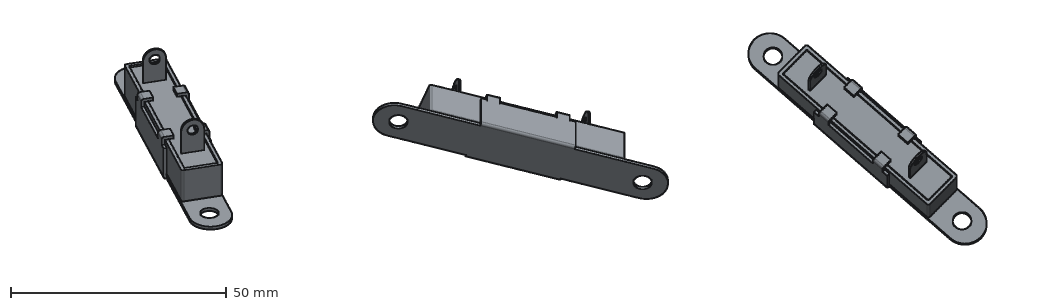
import cadquery as cq

plate_length = 72.0
plate_width = 10.1
plate_thickness = 0.9
mount_hole_diameter = 4.3
mount_hole_x = 30.0

case_length = 48.0
case_width = 10.0
case_top = 9.7
case_edge_radius = 0.5
rim_width = 0.9
recess_depth = 0.5

clip_length = 23.25
clip_width = 11.6
clip_shoulder_top = 8.4
clip_top = 10.6
clip_edge_radius = 0.65
tab_width = 3.1
tab_x = 8.6
tab_gap = 5.75

terminal_x = 15.9
terminal_thickness = 0.5
terminal_width = 5.55
terminal_top = 18.0
terminal_hole_diameter = 2.5

case_floor = case_top - recess_depth


def block(length, width, bottom, top):
    """Box centred on the Z axis, spanning the given heights."""
    return (
        cq.Workplane("XY")
        .workplane(offset=bottom)
        .rect(length, width)
        .extrude(top - bottom)
    )


def make_plate():
    return (
        cq.Workplane("XY")
        .slot2D(plate_length, plate_width)
        .pushPoints([(-mount_hole_x, 0), (mount_hole_x, 0)])
        .circle(mount_hole_diameter / 2)
        .extrude(plate_thickness)
    )


def make_case():
    case = block(case_length, case_width, plate_thickness, case_top)
    case = case.edges("|Z or <Z").fillet(case_edge_radius)
    recess = block(
        case_length - 2 * rim_width, case_width - 2 * rim_width, case_floor, case_top
    )
    return case.cut(recess)


def make_clip():
    """Rounded sleeve trimmed to a low channel with taller hooked tabs."""
    sleeve = block(clip_length, clip_width, 0, clip_top)
    sleeve = sleeve.edges("|X").fillet(clip_edge_radius)
    cavity = block(clip_length, case_width, plate_thickness, case_top)
    tab_opening = block(clip_length, tab_gap, case_top, clip_top)
    sleeve = sleeve.cut(cavity).cut(tab_opening)

    kept = block(clip_length, clip_width, 0, clip_shoulder_top)
    for x in (-tab_x, tab_x):
        tab = block(tab_width, clip_width, clip_shoulder_top, clip_top)
        kept = kept.union(tab.translate((x, 0, 0)))
    return sleeve.intersect(kept)


def make_terminal(x):
    """Upright tongue with a round end and a concentric hole."""
    radius = terminal_width / 2
    hole_height = terminal_top - radius
    left_side = x - terminal_thickness / 2
    blade = block(terminal_thickness, terminal_width, case_floor, hole_height)
    blade = blade.translate((x, 0, 0))
    end_plane = cq.Workplane("YZ", origin=(left_side, 0, hole_height))
    round_end = end_plane.circle(radius).extrude(terminal_thickness)
    hole = end_plane.circle(terminal_hole_diameter / 2).extrude(terminal_thickness)
    return blade.union(round_end).cut(hole)


result = make_plate().union(make_case()).union(make_clip())
for side in (-1, 1):
    result = result.union(make_terminal(side * terminal_x))